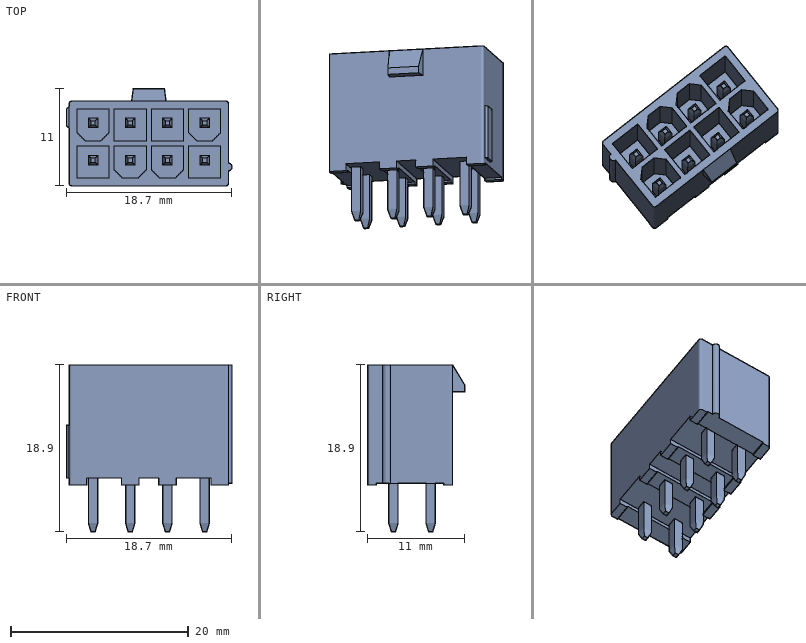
import cadquery as cq


length = 18.0
width = 9.6
height = 13.6
corner_radius = 0.3

columns = 4
rows = 2
pitch = 4.2

cavity_side = 3.63
cavity_depth = 10.0
key_chamfer = 0.95
keyed_cells = [(0, 1), (3, 1), (1, 0), (2, 0)]

pin_side = 1.07
pin_tip_side = 0.48
pin_tip_length = 0.96
pin_offset_y = 0.22
pin_reach = 5.26
pin_recess = 4.0

foot_length = 2.0
foot_height = 0.8
foot_edge_width = 1.0
channel_height = 0.22

latch_reach = 1.4
latch_base_length = 3.9
latch_nose_length = 3.55
latch_height = 3.05
latch_lip_height = 0.75

rib_reach = 0.3
rib_width = 2.5
rib_height = 6.0
rib_setback = 0.6

bead_reach = 0.4
bead_radius = 0.45
bead_setback = 2.15


def column_x(column):
    return (column - (columns - 1) / 2) * pitch


def row_y(row):
    return (row - (rows - 1) / 2) * pitch


def make_housing():
    block = cq.Workplane("XY").box(length, width, height, centered=(True, True, False))
    return block.edges("|Z").fillet(corner_radius)


def make_underside_clearances():
    """Gaps between the feet along X, plus a shallow channel along the middle."""
    inner_feet = [column_x(column) for column in range(1, columns - 1)]
    starts = [foot_length - length / 2] + [x + foot_length / 2 for x in inner_feet]
    ends = [x - foot_length / 2 for x in inner_feet] + [length / 2 - foot_length]
    cut = cq.Workplane("XY").box(
        length, width - 2 * foot_edge_width, channel_height, centered=(True, True, False)
    )
    for start, end in zip(starts, ends):
        gap = cq.Workplane("XY").box(end - start, width, foot_height, centered=(True, True, False))
        cut = cut.union(gap.translate(((start + end) / 2, 0, 0)))
    return cut


def make_cavity(column, row):
    cavity = cq.Workplane("XY").box(
        cavity_side, cavity_side, cavity_depth, centered=(True, True, False)
    )
    if (column, row) in keyed_cells:
        cavity = cavity.faces("<Y").edges("|Z").chamfer(key_chamfer)
    return cavity.translate((column_x(column), row_y(row), height - cavity_depth))


def make_pin(column, row):
    """Square pin with a pyramidal tip at each end."""
    shank_length = pin_reach + height - pin_recess - 2 * pin_tip_length
    shank = cq.Workplane("XY").box(pin_side, pin_side, shank_length)
    top_tip = (
        cq.Workplane("XY", origin=(0, 0, shank_length / 2))
        .rect(pin_side, pin_side)
        .workplane(offset=pin_tip_length)
        .rect(pin_tip_side, pin_tip_side)
        .loft()
    )
    pin = shank.union(top_tip).union(top_tip.mirror("XY"))
    pin_bottom_to_middle = pin_tip_length + shank_length / 2
    return pin.translate(
        (column_x(column), row_y(row) + pin_offset_y, pin_bottom_to_middle - pin_reach)
    )


def make_latch():
    """Ramp that tapers in plan and falls away from the rim to a short lip."""
    wall = width / 2
    nose = wall + latch_reach
    bottom = height - latch_height
    ramp = (
        cq.Workplane("YZ")
        .polyline([(wall, height), (nose, bottom + latch_lip_height), (nose, bottom), (wall, bottom)])
        .close()
        .extrude(latch_base_length / 2, both=True)
    )
    plan = (
        cq.Workplane("XY", origin=(0, 0, bottom))
        .polyline(
            [
                (-latch_base_length / 2, wall),
                (latch_base_length / 2, wall),
                (latch_nose_length / 2, nose),
                (-latch_nose_length / 2, nose),
            ]
        )
        .close()
        .extrude(latch_height)
    )
    return ramp.intersect(plan)


def make_rib():
    """Upright rib with both long edges bevelled at 45 degrees."""
    wall = -length / 2
    back = width / 2 - rib_setback
    front = back - rib_width
    return (
        cq.Workplane("XY", origin=(0, 0, foot_height))
        .polyline(
            [
                (wall, back),
                (wall - rib_reach, back - rib_reach),
                (wall - rib_reach, front + rib_reach),
                (wall, front),
            ]
        )
        .close()
        .extrude(rib_height)
    )


def make_bead():
    axis_x = length / 2 + bead_reach - bead_radius
    axis_y = bead_setback - width / 2
    return (
        cq.Workplane("XY", origin=(axis_x, axis_y, channel_height))
        .circle(bead_radius)
        .extrude(height - channel_height)
    )


result = make_housing().union(make_latch()).union(make_rib()).union(make_bead())
result = result.cut(make_underside_clearances())
cells = [(column, row) for column in range(columns) for row in range(rows)]
for cell in cells:
    result = result.cut(make_cavity(*cell))
for cell in cells:
    result = result.union(make_pin(*cell))